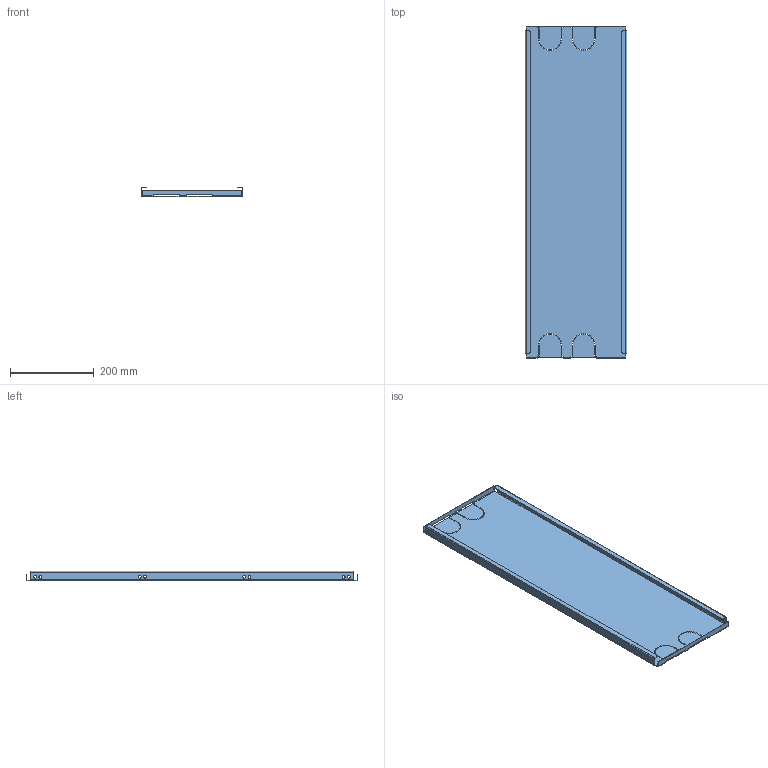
import cadquery as cq

width = 243.4
length = 794.0
height = 22.2

sheet = 1.0
bend_inner = 1.2
bend_outer = bend_inner + sheet

side_wall_length = 774.0
lip_width = 13.0
lip_corner_radius = 7.0

end_wall_height = 15.0
side_inset = 2.4
end_wall_width = width - 2 * side_inset

hole_diameter = 7.0
hole_height = 9.0
hole_pair_spacing = 12.5
first_hole_positions = (375.0, 125.0, -125.0, -375.0)
pair_directions = (-1, -1, -1, 1)

tongue_centers = (-61.9, 18.1)
slot_depth = 58.0
slot_outer_radius = 27.5
slot_width = 1.4
bridge_width = 3.5
bridge_length = 4 * slot_width
bridge_offsets = (-2.7, 2.7)
tongue_end_gap = 1.0

window_width = 62.5
window_height = 5.0
window_depth = 4.0

arc_center_y = length / 2 - slot_depth + slot_outer_radius
tongue_end_y = length / 2 - sheet - tongue_end_gap


def side_channel():
    """Floor, side walls and lips as one C-shaped section along Y."""

    def rounded_bar(inset, radius):
        return (
            cq.Workplane("XZ", origin=(0, 0, height / 2))
            .rect(width - 2 * inset, height - 2 * inset)
            .extrude(side_wall_length / 2, both=True)
            .edges("|Y")
            .fillet(radius)
        )

    mouth_width = width - 2 * lip_width
    mouth = (
        cq.Workplane("XY", origin=(0, 0, height - sheet))
        .rect(mouth_width, side_wall_length)
        .extrude(sheet)
    )
    channel = rounded_bar(0, bend_outer).cut(rounded_bar(sheet, bend_inner)).cut(mouth)
    around_mouth = cq.selectors.BoxSelector(
        (-mouth_width / 2 - sheet, -length / 2, height - sheet),
        (mouth_width / 2 + sheet, length / 2, height),
    )
    return channel.edges("|Z").edges(around_mouth).fillet(lip_corner_radius)


def end_trough():
    """Floor and end walls as one U-shaped section along X."""

    def rounded_block(inset, radius):
        return (
            cq.Workplane("XY", origin=(0, 0, inset))
            .rect(end_wall_width, length - 2 * inset)
            .extrude(end_wall_height - inset)
            .edges("<Z and |X")
            .fillet(radius)
        )

    return rounded_block(0, bend_outer).cut(rounded_block(sheet, bend_inner))


def tongue(x, radius):
    """Round-nosed floor panel reaching from its nose to the +Y end wall."""
    return (
        cq.Workplane("XY")
        .moveTo(x - radius, tongue_end_y)
        .lineTo(x - radius, arc_center_y)
        .threePointArc((x, arc_center_y - radius), (x + radius, arc_center_y))
        .lineTo(x + radius, tongue_end_y)
        .close()
        .extrude(sheet)
    )


def knockout_cutter(x):
    """Slot and bend window that free one tongue at the +Y end, apart from its bridges."""
    window = (
        cq.Workplane("XY", origin=(x, length / 2 - window_depth / 2, 0))
        .rect(window_width, window_depth)
        .extrude(window_height)
    )
    bridges = (
        cq.Workplane("XY", origin=(x, arc_center_y - slot_outer_radius, 0))
        .pushPoints([(offset, 0) for offset in bridge_offsets])
        .rect(bridge_width, bridge_length)
        .extrude(sheet)
    )
    opening = tongue(x, slot_outer_radius).union(window)
    return opening.cut(tongue(x, slot_outer_radius - slot_width)).cut(bridges)


def side_holes():
    """Cylinders along X through both side walls."""
    centers = []
    for y, direction in zip(first_hole_positions, pair_directions):
        centers.append((y, hole_height))
        centers.append((y + direction * hole_pair_spacing, hole_height))
    return (
        cq.Workplane("YZ")
        .pushPoints(centers)
        .circle(hole_diameter / 2)
        .extrude(width / 2, both=True)
    )


tray = side_channel().union(end_trough()).cut(side_holes())
for center_x in tongue_centers:
    cutter = knockout_cutter(center_x)
    tray = tray.cut(cutter).cut(cutter.mirror("XZ"))

result = tray